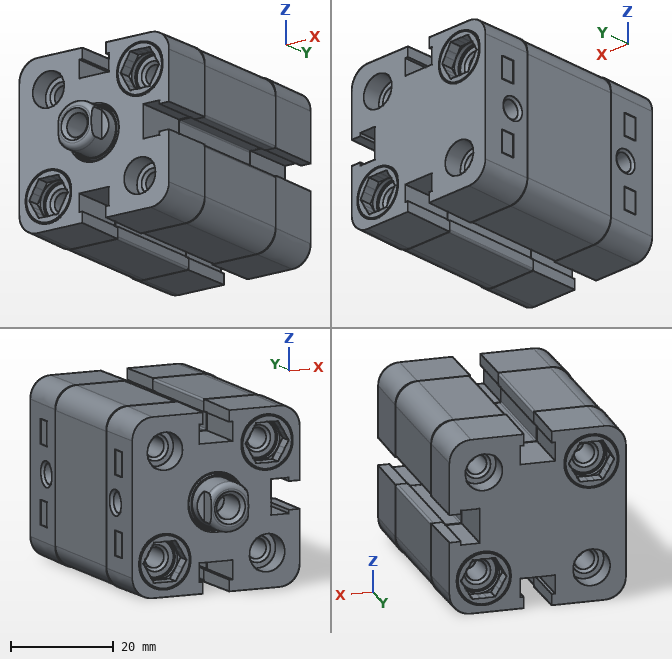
import cadquery as cq
import math


cap_length = 11.8
barrel_length = 23.6
rod_reach = 6.45
body_length = barrel_length + 2 * cap_length

cut_margin = 0.55
select_margin = 0.05

cap_inner_width = 36.3
cap_outer_width = 36.0
cap_flat_width = 27.3
barrel_width = 36.1
barrel_corner_radius = 4.6

slot_neck_width = 5.7
slot_angles = (0, 90, 180)
slot_lip = 2.45
cap_slot_width = 7.15
cap_slot_depth = 6.3
barrel_slot_width = 6.75
barrel_slot_depth = 6.1
slot_mouth_radius = 0.45
slot_corner_radius = 0.25

mount_offset = 11.0
mount_bore_diameter = 7.55
mount_bore_depth = 4.3
thread_diameter = 4.15
thread_mouth_diameter = 5.35

hex_width = 8.05
hex_relief_diameter = 8.15
hex_depth = 2.8
nut_bore_diameter = 8.0
nut_bore_depth = 3.9
nut_face_diameter = 10.5
nut_seat_diameter = 11.1

port_setback = 7.6
port_depth = 5.35
passage_height = 3.15
front_passage_length = 6.45
rear_passage_length = 5.7

label_length = 3.1
label_height = 5.0
label_setback = 6.3
label_offset = 8.05
label_floor = 17.9

rod_diameter = 10.0
rod_end_radius = 1.25
rod_flat_width = 8.0
rod_flat_length = 3.4
rod_bore_diameter = 4.95
rod_bore_mouth_diameter = 6.55
rod_bore_depth = 8.05
recess_mouth_diameter = 12.0
recess_diameter = 11.4
wiper_root_diameter = 10.9
wiper_tip_diameter = 10.5
recess_depth = 1.05
wiper_height = 0.8


def rounded_square(width, corner_radius):
    """Sketch of a square with rounded corners, centred on the axis."""
    return cq.Sketch().rect(width, width).vertices().fillet(corner_radius)


def y_cylinder(diameter, y_start, y_end, x=0.0, z=0.0):
    """Cylinder along +Y from y_start to y_end."""
    start = cq.Vector(x, y_start, z)
    return cq.Workplane(cq.Solid.makeCylinder(diameter / 2, y_end - y_start, start, cq.Vector(0, 1, 0)))


def countersink(mouth, direction, mouth_diameter, hole_diameter):
    """45 degree cone that narrows along direction from mouth_diameter to hole_diameter."""
    depth = (mouth_diameter - hole_diameter) / 2
    start = cq.Vector(*mouth)
    axis = cq.Vector(*direction)
    return cq.Workplane(cq.Solid.makeCone(mouth_diameter / 2, hole_diameter / 2, depth, start, axis))


def revolve_profile(points, x=0.0, z=0.0):
    """Ring from (radius, y) points, turned about an axis along Y through (x, z)."""
    ring = cq.Workplane("XY").polyline(points).close().revolve(360, (0, 0), (0, 1))
    return ring.translate((x, 0, z))


def t_slot(outer, width, depth, y_start, length):
    """T-slot cutter for the top side of a body whose half width is outer."""
    floor = outer - depth
    chamber_top = outer - slot_lip
    neck_top = outer + cut_margin
    chamber = cq.Workplane("XY").box(width, length, chamber_top - floor, centered=(True, False, False))
    neck = cq.Workplane("XY").box(slot_neck_width, length, neck_top - floor, centered=(True, False, False))
    return chamber.union(neck).translate((0, y_start, floor))


def cut_slots(body, cutter):
    """Cut the T-slot into the top, +X and bottom sides."""
    for angle in slot_angles:
        body = body.cut(cutter.rotate((0, 0, 0), (0, 1, 0), angle))
    return body


def mount_bore(x, z):
    """Counterbore with a countersunk thread hole through the rest of the cap."""
    bore = y_cylinder(mount_bore_diameter, 0, mount_bore_depth, x, z)
    mouth = countersink((x, mount_bore_depth, z), (0, 1, 0), thread_mouth_diameter, thread_diameter)
    thread = y_cylinder(thread_diameter, 0, cap_length, x, z)
    return bore.union(mouth).union(thread)


def nut_cut(x, z):
    """Hexagon socket, the round bore behind it and the chamfered gap round the nut."""
    corner_diameter = hex_width / math.cos(math.pi / 6)
    socket = cq.Workplane("XZ").polygon(6, corner_diameter).extrude(-hex_depth).translate((x, 0, z))
    relief = y_cylinder(hex_relief_diameter, 0, hex_depth, x, z)
    bore = y_cylinder(nut_bore_diameter, 0, nut_bore_depth, x, z)
    face_radius = nut_face_diameter / 2
    seat_radius = nut_seat_diameter / 2
    gap = revolve_profile(
        [(face_radius, 0), (seat_radius, 0), (seat_radius, seat_radius - face_radius)], x, z
    )
    return socket.union(relief).union(bore).union(gap)


def port_cut(passage_length):
    """Countersunk port in the -X side with a passage to the axis along the cap's inner face."""
    side = cap_inner_width / 2
    bore = cq.Workplane("YZ", origin=(-side, port_setback, 0)).circle(thread_diameter / 2).extrude(port_depth)
    mouth = countersink((-side, port_setback, 0), (1, 0, 0), thread_mouth_diameter, thread_diameter)
    passage_width = side - port_depth
    passage = cq.Workplane("XY").box(
        passage_width, passage_length, passage_height, centered=(False, False, True)
    ).translate((port_depth - side, cap_length - passage_length, 0))
    return bore.union(mouth).union(passage)


def label_recess(z):
    """Shallow rectangular recess in the -X side."""
    recess = cq.Workplane("XY").box(cut_margin, label_length, label_height, centered=(False, True, True))
    return recess.translate((-label_floor - cut_margin, label_setback, z))


def make_cap(passage_length):
    """End cap with its outer face at y = 0 and its inner face towards +Y."""
    outer_end = rounded_square(cap_outer_width, (cap_outer_width - cap_flat_width) / 2)
    inner_end = rounded_square(cap_inner_width, (cap_inner_width - cap_flat_width) / 2)
    inner_place = cq.Location(cq.Vector(0, 0, -cap_length))
    cap = cq.Workplane("XZ").placeSketch(outer_end, inner_end.moved(inner_place)).loft()
    cap = cut_slots(cap, t_slot(cap_inner_width / 2, cap_slot_width, cap_slot_depth, 0, cap_length))
    for side in (1, -1):
        cap = cap.cut(mount_bore(side * mount_offset, side * mount_offset))
        cap = cap.cut(mount_bore(side * mount_offset, -side * mount_offset))
        cap = cap.cut(nut_cut(side * mount_offset, side * mount_offset))
        cap = cap.cut(label_recess(side * label_offset))
    return cap.cut(port_cut(passage_length))


def make_front_cap():
    """Cap with the rod guide and a wiper lip in the recess round the rod."""
    cap = make_cap(front_passage_length)
    guide = y_cylinder(rod_diameter, 0, cap_length)
    recess = y_cylinder(recess_diameter, 0, recess_depth)
    mouth = countersink((0, 0, 0), (0, 1, 0), recess_mouth_diameter, recess_diameter)
    lip = revolve_profile(
        [
            (rod_diameter / 2, recess_depth),
            (wiper_root_diameter / 2, recess_depth),
            (wiper_tip_diameter / 2, recess_depth - wiper_height),
            (rod_diameter / 2, recess_depth - wiper_height),
        ]
    )
    return cap.cut(recess).cut(mouth).union(lip).cut(guide)


def make_rear_cap():
    """Plain cap, turned half a turn about X to close the far end of the barrel."""
    cap = make_cap(rear_passage_length)
    return cap.rotate((0, 0, 0), (1, 0, 0), 180).translate((0, body_length, 0))


def make_barrel():
    """Straight slotted tube between the caps, with a bore that fits the rod."""
    outline = rounded_square(barrel_width, barrel_corner_radius)
    barrel = cq.Workplane("XZ", origin=(0, cap_length, 0)).placeSketch(outline).extrude(-barrel_length)
    half_width = barrel_width / 2
    cutter = t_slot(half_width, barrel_slot_width, barrel_slot_depth, cap_length, barrel_length)
    cutter = cutter.faces("<Z").edges("|Y").fillet(slot_corner_radius)
    barrel = cut_slots(barrel, cutter)
    half_neck = slot_neck_width / 2
    for angle in slot_angles:
        barrel = barrel.rotate((0, 0, 0), (0, 1, 0), -angle)
        mouth = cq.selectors.BoxSelector(
            (-half_neck - select_margin, 0, half_width - select_margin),
            (half_neck + select_margin, body_length, half_width + select_margin),
        )
        barrel = barrel.edges(mouth).fillet(slot_mouth_radius).rotate((0, 0, 0), (0, 1, 0), angle)
    return barrel.cut(y_cylinder(rod_diameter, cap_length, cap_length + barrel_length))


def rod_flat(side):
    """Cutter for one wrench flat, with a 45 degree run-out towards the cap."""
    flat_x = rod_flat_width / 2
    outside_x = rod_diameter / 2 + cut_margin
    flat_end = rod_flat_length - rod_reach
    cutter = (
        cq.Workplane("XY")
        .moveTo(side * flat_x, -rod_reach)
        .lineTo(side * flat_x, flat_end)
        .lineTo(side * outside_x, flat_end + outside_x - flat_x)
        .lineTo(side * outside_x, -rod_reach)
        .close()
    )
    return cutter.extrude(rod_diameter / 2, both=True)


def make_rod():
    """Piston rod with a rounded end, two wrench flats and a countersunk thread hole."""
    rod_length = rod_reach + cap_length + barrel_length
    rod = cq.Workplane("XZ", origin=(0, -rod_reach, 0)).circle(rod_diameter / 2).extrude(-rod_length)
    rod = rod.faces("<Y").edges().fillet(rod_end_radius)
    rod = rod.cut(rod_flat(1)).cut(rod_flat(-1))
    bore = y_cylinder(rod_bore_diameter, -rod_reach, rod_bore_depth - rod_reach)
    mouth = countersink((0, -rod_reach, 0), (0, 1, 0), rod_bore_mouth_diameter, rod_bore_diameter)
    return rod.cut(bore).cut(mouth)


front_cap = make_front_cap()
barrel = make_barrel()
rear_cap = make_rear_cap()
rod = make_rod()

bodies = (front_cap, barrel, rear_cap, rod)
result = cq.Compound.makeCompound([body.solids().val() for body in bodies])